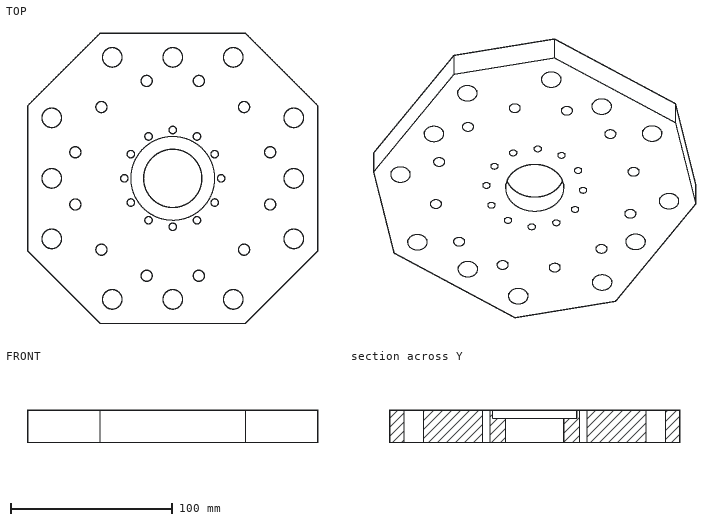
import cadquery as cq

plate_width = 180.0
plate_thickness = 20.0
corner_cut = plate_width / 4

bore_diameter = 36.0
recess_diameter = 52.0
recess_depth = 5.0

ring_hole_count = 12
ring_step_angle = 360.0 / ring_hole_count
inner_hole_diameter = 4.5
inner_ring_radius = 30.0
outer_hole_diameter = 6.78
outer_ring_radius = 62.5
outer_ring_start_angle = ring_step_angle / 2

mount_hole_diameter = 12.0
mount_hole_edge_distance = 15.0
mount_hole_offset = plate_width / 2 - mount_hole_edge_distance
mount_hole_pitch = mount_hole_offset / 2


def make_plate():
    """Square plate with its four vertical corners cut to form an octagon."""
    blank = cq.Workplane("XY").box(
        plate_width, plate_width, plate_thickness, centered=(True, True, False)
    )
    return blank.edges("|Z").chamfer(corner_cut)


def cut_centre_bore(body):
    """Through bore with a wider round recess in the top face."""
    return (
        body.faces(">Z")
        .workplane(origin=(0, 0, plate_thickness))
        .cboreHole(bore_diameter, recess_diameter, recess_depth)
    )


def cut_hole_ring(body, ring_radius, hole_diameter, start_angle):
    """Through holes evenly spaced on a circle around the bore."""
    return (
        body.faces(">Z")
        .workplane(origin=(0, 0, plate_thickness))
        .polarArray(ring_radius, start_angle, 360, ring_hole_count)
        .hole(hole_diameter)
    )


def cut_mount_holes(body):
    """Three through holes in a row beside each straight side."""
    points = []
    for along in (-mount_hole_pitch, 0, mount_hole_pitch):
        for across in (-mount_hole_offset, mount_hole_offset):
            points.append((along, across))
            points.append((across, along))
    return (
        body.faces(">Z")
        .workplane(origin=(0, 0, plate_thickness))
        .pushPoints(points)
        .hole(mount_hole_diameter)
    )


plate = make_plate()
plate = cut_centre_bore(plate)
plate = cut_hole_ring(plate, inner_ring_radius, inner_hole_diameter, 0)
plate = cut_hole_ring(plate, outer_ring_radius, outer_hole_diameter, outer_ring_start_angle)
result = cut_mount_holes(plate)